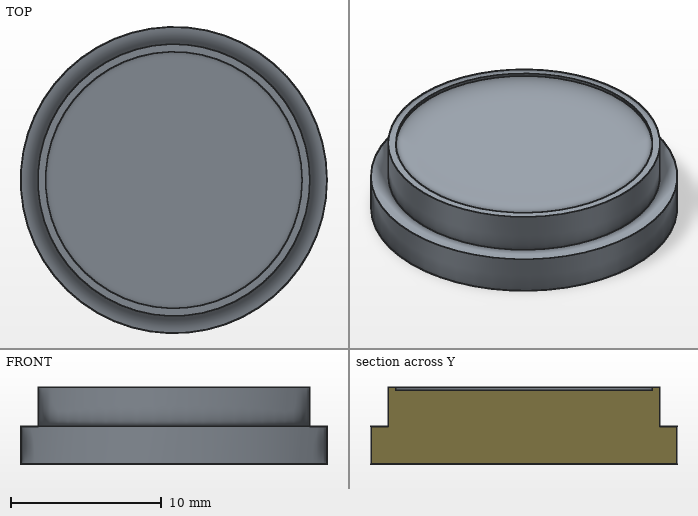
import cadquery as cq

flange_diameter = 20.3
flange_height = 2.5
boss_diameter = 18.0
total_height = 5.1
rim_width = 0.5
recess_depth = 0.2

boss_height = total_height - flange_height
recess_diameter = boss_diameter - 2 * rim_width

flange = cq.Workplane("XY").circle(flange_diameter / 2).extrude(flange_height)

body = flange.faces(">Z").workplane().circle(boss_diameter / 2).extrude(boss_height)

result = body.faces(">Z").workplane().circle(recess_diameter / 2).cutBlind(-recess_depth)